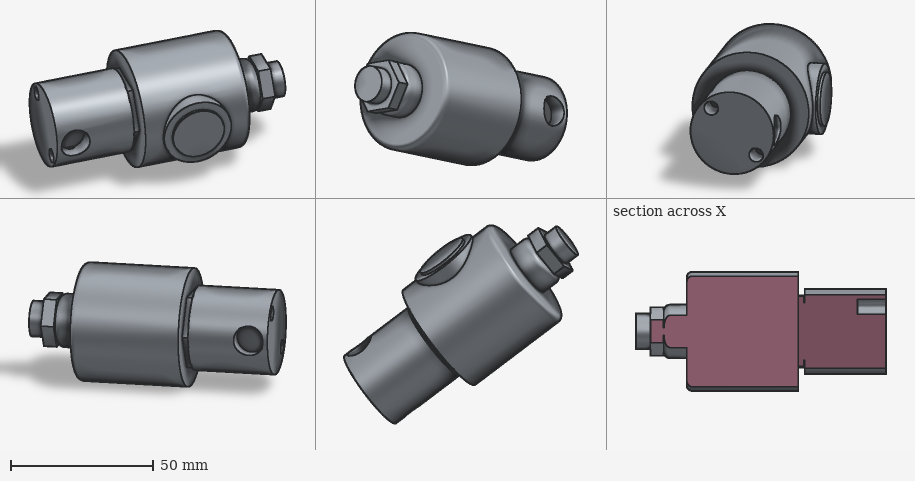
import cadquery as cq
import math


housing_diameter = 42.0
housing_length = 39.35
housing_edge_radius = 2.0

port_diameter = 25.0
port_face_x = 22.0
port_lip_diameter = 19.0
port_lip_height = 1.0
port_center_y = 19.1

dome_diameter = 19.0
dome_length = 8.15
dome_edge_radius = 2.5
fitting_hex_corners = 19.8
fitting_hex_length = 4.6
nipple_diameter = 12.7
nipple_length = 5.1

neck_hex_flats = 25.4
neck_length = 1.95
relief_diameter = neck_hex_flats
relief_length = 0.25
head_diameter = 30.0
head_length = 28.65

cross_hole_diameter = 10.6
cross_hole_depth = 6.0
cross_hole_from_end = 6.9
face_hole_diameter = 5.0
face_hole_depth = 10.0
face_hole_near = 7.5
face_hole_far = 8.7


def section_at(y):
    """Sketch plane across the main axis at position y, with its normal along +Y."""
    return cq.Workplane(cq.Plane(origin=(0, y, 0), xDir=(1, 0, 0), normal=(0, 1, 0)))


def cylinder(y, diameter, length):
    """Cylinder on the main axis, running from y towards +Y."""
    return section_at(y).circle(diameter / 2).extrude(length)


def hexagon(y, corner_diameter, length):
    """Hexagonal prism with two corners on the X axis."""
    return section_at(y).polygon(6, corner_diameter).extrude(length)


def side_disc(x_start, x_end, y, diameter):
    """Cylinder along X between two X positions."""
    plane = cq.Workplane("YZ", origin=(x_start, y, 0))
    return plane.circle(diameter / 2).extrude(x_end - x_start)


def make_housing():
    shell = cylinder(0, housing_diameter, housing_length).faces(">Y").edges().fillet(housing_edge_radius)
    port = side_disc(0, port_face_x, port_center_y, port_diameter)
    lip = side_disc(0, port_face_x + port_lip_height, port_center_y, port_lip_diameter)

    dome = cylinder(housing_length, dome_diameter, dome_length).faces(">Y").edges().fillet(dome_edge_radius)
    hex_y = housing_length + dome_length
    fitting_hex = hexagon(hex_y, fitting_hex_corners, fitting_hex_length)
    nipple = cylinder(hex_y + fitting_hex_length, nipple_diameter, nipple_length)
    return shell.union(port).union(lip).union(dome).union(fitting_hex).union(nipple)


def make_base():
    neck_corners = neck_hex_flats / math.cos(math.radians(30))
    neck = hexagon(-neck_length, neck_corners, neck_length)
    relief_end_y = -neck_length - relief_length
    relief = cylinder(relief_end_y, relief_diameter, relief_length)
    end_y = relief_end_y - head_length
    base = cylinder(end_y, head_diameter, head_length).union(relief).union(neck)

    head_radius = head_diameter / 2
    for side in (-1, 1):
        inner_x = side * (head_radius - cross_hole_depth)
        outer_x = side * head_radius
        base = base.cut(side_disc(inner_x, outer_x, end_y + cross_hole_from_end, cross_hole_diameter))

    for x, z in ((-face_hole_near, face_hole_far), (face_hole_far, -face_hole_near)):
        face_hole = cylinder(end_y, face_hole_diameter, face_hole_depth).translate((x, 0, z))
        base = base.cut(face_hole)
    return base


housing = make_housing()
base = make_base()
result = cq.Compound.makeCompound([housing.val(), base.val()])